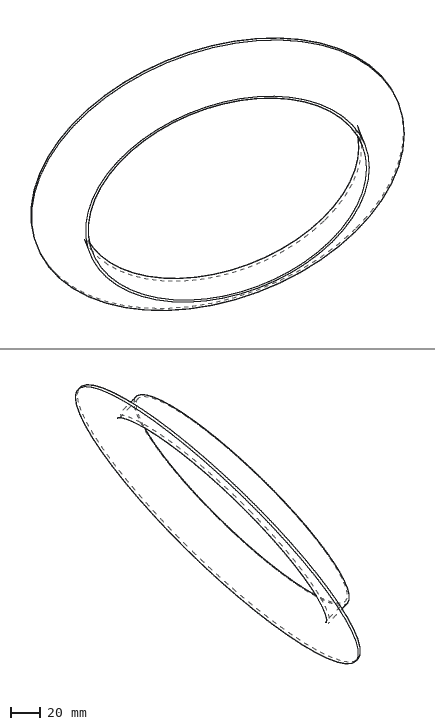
import cadquery as cq
import math

flange_diameter = 268.0
collar_outer_diameter = 204.0
bore_diameter = 200.0
overall_length = 25.0
bend_outer_radius = 7.0

flange_radius = flange_diameter / 2
collar_radius = collar_outer_diameter / 2
bore_radius = bore_diameter / 2
sheet = collar_radius - bore_radius
bend_inner_radius = bend_outer_radius - sheet

bend_axial = bend_outer_radius
bend_radial = bore_radius + bend_outer_radius


def bend_midpoint(radius):
    """Middle of a quarter arc of the bend, on the side facing the flange face and bore."""
    offset = radius * math.sqrt(0.5)
    return (bend_axial - offset, bend_radial - offset)


result = (
    cq.Workplane("XY")
    .moveTo(0, flange_radius)
    .lineTo(0, bend_radial)
    .threePointArc(bend_midpoint(bend_outer_radius), (bend_axial, bore_radius))
    .lineTo(overall_length, bore_radius)
    .lineTo(overall_length, collar_radius)
    .lineTo(bend_axial, collar_radius)
    .threePointArc(bend_midpoint(bend_inner_radius), (sheet, bend_radial))
    .lineTo(sheet, flange_radius)
    .close()
    .revolve(360, (0, 0, 0), (1, 0, 0))
)